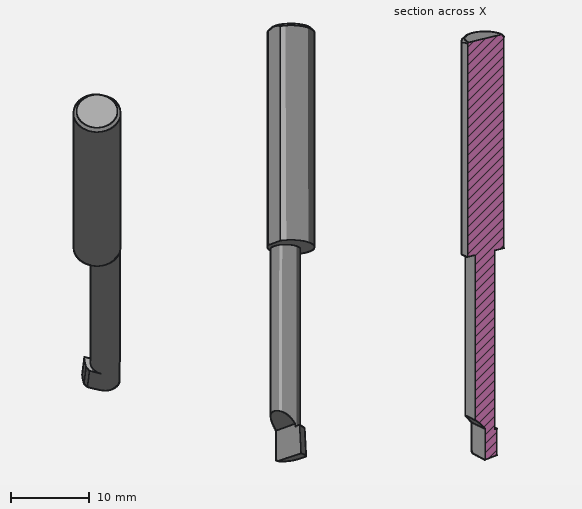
import cadquery as cq
import math

total_length = 57.0
shank_length = 29.0
shank_radius = 3.0
shank_flat_y = 2.75
shank_chamfer = 0.4

neck_radius = 1.9
neck_chamfer = 0.35
neck_x = shank_radius - neck_radius
shank_bottom = total_length - shank_length

rake_face_y = 0.0
cut_outer_z = 6.0
cut_inner_z = 4.25
cut_bulge = 0.1

head_height = 3.9
tip_x = -2.0
tip_lean = 0.3
flank_bulge = 0.04
heel_x = -1.3
heel_y = -1.45
front_x = -0.7
end_relief_angle = 7.0
end_clearance_angle = 1.5


def make_shank():
    bar = (
        cq.Workplane("XY")
        .workplane(offset=shank_bottom)
        .circle(shank_radius)
        .extrude(shank_length)
        .faces(">Z")
        .chamfer(shank_chamfer)
    )
    kept_depth = shank_flat_y + shank_radius
    kept = cq.Workplane("XY").box(
        2 * shank_radius, kept_depth, total_length, centered=(True, False, False)
    )
    return bar.intersect(kept.translate((0, -shank_radius, 0)))


def make_neck():
    return (
        cq.Workplane("XY")
        .center(neck_x, 0)
        .circle(neck_radius)
        .extrude(shank_bottom)
        .faces("<Z")
        .chamfer(neck_chamfer)
    )


def make_half_cut():
    """Space on the +Y side of the rake face, below the curved run-out."""
    run = neck_radius - rake_face_y
    rise = cut_outer_z - cut_inner_z
    chord = math.hypot(run, rise)
    middle_y = rake_face_y + run / 2 - cut_bulge * rise / chord
    middle_z = (cut_inner_z + cut_outer_z) / 2 + cut_bulge * run / chord
    return (
        cq.Workplane("YZ")
        .moveTo(rake_face_y, 0)
        .lineTo(rake_face_y, cut_inner_z)
        .threePointArc((middle_y, middle_z), (neck_radius, cut_outer_z))
        .lineTo(neck_radius, 0)
        .close()
        .extrude(shank_radius, both=True)
    )


def head_section(height):
    """Closed outline of the head at a height; the cutting side shifts with the lean."""
    shift = tip_lean * height / head_height
    flank_x = (tip_x + heel_x) / 2
    flank_y = (rake_face_y + heel_y) / 2
    flank_length = math.hypot(heel_x - tip_x, heel_y - rake_face_y)
    bulge_x = flank_bulge * (heel_y - rake_face_y) / flank_length
    bulge_y = -flank_bulge * (heel_x - tip_x) / flank_length
    return (
        cq.Workplane("XY")
        .workplane(offset=height)
        .moveTo(neck_x, rake_face_y)
        .lineTo(tip_x + shift, rake_face_y)
        .threePointArc(
            (flank_x + bulge_x + shift, flank_y + bulge_y), (heel_x + shift, heel_y)
        )
        .lineTo(front_x + shift, -neck_radius)
        .lineTo(neck_x, -neck_radius)
        .close()
        .wires()
        .val()
    )


def make_head():
    loft = cq.Solid.makeLoft([head_section(0), head_section(head_height)], True)
    return cq.Workplane(obj=loft)


def make_end_relief():
    """Space under the end face, which rises from the tip towards -Y and +X."""
    size = 4 * shank_radius
    block = cq.Workplane("XY").box(size, size, size, centered=(True, True, False))
    return (
        block.translate((0, 0, -size))
        .rotate((0, 0, 0), (1, 0, 0), -end_relief_angle)
        .rotate((0, 0, 0), (0, 1, 0), -end_clearance_angle)
        .translate((tip_x, rake_face_y, 0))
    )


bar = make_shank().union(make_neck()).cut(make_half_cut())
result = bar.union(make_head()).cut(make_end_relief())